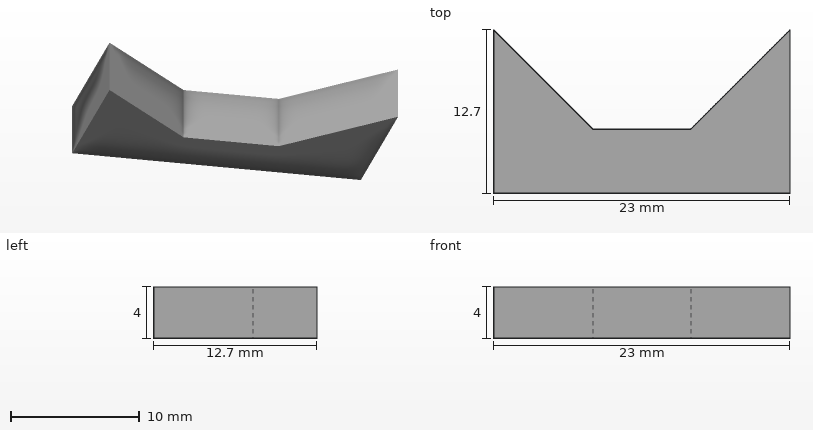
import cadquery as cq

length = 23.0
depth = 12.7
thickness = 4.0

notch_floor_width = 7.6
web_depth = 5.0

half_length = length / 2
half_floor = notch_floor_width / 2
front_y = -depth / 2
tip_y = depth / 2
floor_y = front_y + web_depth

profile = [
    (-half_length, front_y),
    (half_length, front_y),
    (half_length, tip_y),
    (half_floor, floor_y),
    (-half_floor, floor_y),
    (-half_length, tip_y),
]

result = cq.Workplane("XY").polyline(profile).close().extrude(thickness)